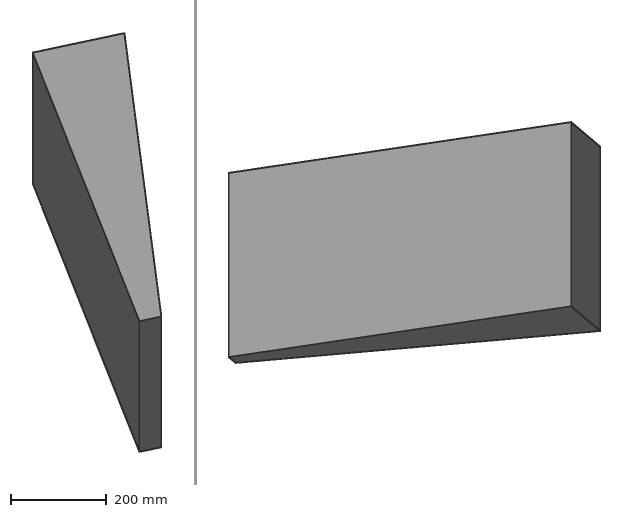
import cadquery as cq

length = 800.0
thick_end = 200.0
thin_end = 48.0
height = 400.0

result = (
    cq.Workplane("XY")
    .polyline([(0, 0), (length, 0), (length, thin_end), (0, thick_end)])
    .close()
    .extrude(height)
)